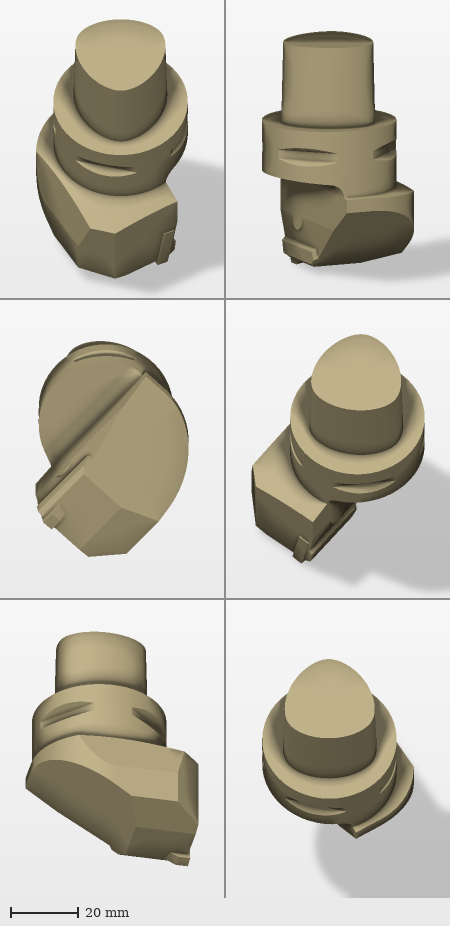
import cadquery as cq
import math

shank_height = 24.0
shank_mean_radius = 14.0
shank_lobe = 0.9
shank_taper = 0.6
shank_points = 48

flange_radius = 20.0
flange_bottom = -20.0
groove_z = -8.0
groove_floor_distance = 17.65
groove_floor_half_height = 1.3
groove_mouth_half_height = 2.7
groove_length = 43.2

head_left = -21.5
head_right = 26.35
head_side = -25.7
head_face = 3.95
head_bottom = -46.0
corner_radius = -head_left
corner_chamfer = 8.0
draft_angle = math.radians(15)
draft_start_z = -32.9
slope_top_z = -24.4
slope_end_x = 8.1
heel_y = -14.0
heel_z = -43.2

relief_edge_z = -15.1
relief_slope = math.tan(math.radians(5))
relief_radius = 3.95

rake_degrees = 10.3
rake_slope = math.tan(math.radians(rake_degrees))
seat_top_z = -31.4
jaw_foot_z = -39.75
jaw_crest_y = 3.4
jaw_crest_z = -40.8
jaw_nose_y = 2.95
jaw_nose_z = -44.85
jaw_toe_y = 0.9
jaw_left_foot_x = 3.4
jaw_left_crest_x = 4.75

insert_right = 27.0
insert_tip_y = 0.15
insert_tip_z = shank_height - 72.0
insert_edge = 13.75
insert_tip_width = 3.7
insert_thickness = 3.5

screw_radius = 3.0
screw_length = 14.4
screw_x = 14.4
screw_z = -32.6

clearance = 72.0


def shank_outline(mean_radius):
    """Points of a three-lobed curve with support distance R + e*cos(3*turn)."""
    points = []
    for index in range(shank_points):
        turn = 2 * math.pi * index / shank_points
        support = mean_radius + shank_lobe * math.cos(3 * turn)
        sideways = -3 * shank_lobe * math.sin(3 * turn)
        along_lobe = support * math.cos(turn) - sideways * math.sin(turn)
        across_lobe = support * math.sin(turn) + sideways * math.cos(turn)
        points.append((-across_lobe, along_lobe))
    return points


def make_shank():
    return (
        cq.Workplane("XY")
        .spline(shank_outline(shank_mean_radius), periodic=True).close()
        .workplane(offset=shank_height)
        .spline(shank_outline(shank_mean_radius - shank_taper), periodic=True).close()
        .loft(ruled=True)
    )


def side_prism(points, start_x=-clearance, length=2 * clearance):
    """Prism along X from a (y, z) outline."""
    return cq.Workplane("YZ", origin=(start_x, 0, 0)).polyline(points).close().extrude(length)


def make_flange():
    flange = cq.Workplane("XY").circle(flange_radius).extrude(flange_bottom)
    groove = side_prism(
        [
            (groove_floor_distance, groove_z - groove_floor_half_height),
            (flange_radius, groove_z - groove_mouth_half_height),
            (flange_radius, groove_z + groove_mouth_half_height),
            (groove_floor_distance, groove_z + groove_floor_half_height),
        ],
        -groove_length / 2,
        groove_length,
    )
    for index in range(4):
        flange = flange.cut(groove.rotate((0, 0, 0), (0, 0, 1), 45 + 90 * index))
    return flange


def make_head_block():
    arc_center_y = head_side + corner_radius
    arc_reach = corner_radius * math.sqrt(0.5)
    block = (
        cq.Workplane("XY", origin=(0, 0, head_bottom))
        .moveTo(head_left, head_face)
        .lineTo(head_left, arc_center_y)
        .threePointArc((-arc_reach, arc_center_y - arc_reach), (0, head_side))
        .lineTo(head_right - corner_chamfer, head_side)
        .lineTo(head_right, head_side + corner_chamfer)
        .lineTo(head_right, head_face)
        .close()
        .extrude(flange_bottom - head_bottom)
    )
    cone_drop = (clearance - flange_radius) * math.tan(draft_angle)
    cone = (
        cq.Workplane("XZ")
        .polyline([
            (0, flange_bottom),
            (flange_radius, flange_bottom),
            (clearance, flange_bottom - cone_drop),
            (clearance, -clearance),
            (0, -clearance),
        ])
        .close()
        .revolve(360, (0, 0, 0), (0, 1, 0))
    )
    draft_run = (flange_bottom - draft_start_z) * math.tan(draft_angle)
    drafted_side = side_prism([
        (head_side, draft_start_z),
        (head_side + draft_run, flange_bottom),
        (head_side, flange_bottom),
    ])
    heel = side_prism([(heel_y, head_bottom), (head_side, heel_z), (head_side, head_bottom)])
    return block.intersect(cone).cut(drafted_side).cut(heel)


def make_flange_relief():
    """Clears the space below the +Y part of the flange, rounded into the head face."""
    slope_at_face = relief_edge_z - relief_slope * (flange_radius - head_face)
    slope_beyond = relief_edge_z + relief_slope * (clearance - flange_radius)
    relief = side_prism([
        (head_face, slope_at_face),
        (clearance, slope_beyond),
        (clearance, -clearance),
        (head_face, -clearance),
    ])
    inner_corner = cq.selectors.NearestToPointSelector((0, head_face, slope_at_face))
    return relief.edges(inner_corner).fillet(relief_radius)


def seat_y(z):
    return head_face - rake_slope * (seat_top_z - z)


def make_seat_relief():
    """Removes the wedge in front of the inclined seat."""
    return side_prism([
        (head_face, seat_top_z),
        (head_face, -clearance),
        (seat_y(-clearance), -clearance),
    ])


def make_jaw():
    """Raised jaw over the insert, with a sloping wall at its -X end."""
    profile = side_prism(
        [
            (seat_y(jaw_foot_z), jaw_foot_z),
            (jaw_crest_y, jaw_crest_z),
            (jaw_nose_y, jaw_nose_z),
            (jaw_toe_y, head_bottom),
            (heel_y, head_bottom),
            (heel_y, jaw_foot_z),
        ],
        0,
        head_right,
    )
    left_wall = (
        cq.Workplane("XY", origin=(0, 0, head_bottom))
        .polyline([
            (jaw_left_foot_x, heel_y),
            (jaw_left_foot_x, seat_y(heel_z)),
            (jaw_left_crest_x, jaw_crest_y),
            (head_right, jaw_crest_y),
            (head_right, heel_y),
        ])
        .close()
        .extrude(jaw_foot_z - head_bottom)
    )
    return profile.intersect(left_wall)


def make_underside_slope():
    """Cuts away the region under the sloping -X side of the head."""
    return (
        cq.Workplane("XZ", origin=(0, clearance, 0))
        .polyline([(head_left, slope_top_z), (slope_end_x, head_bottom), (head_left, head_bottom)])
        .close()
        .extrude(2 * clearance)
    )


def make_insert():
    """Triangular plate with a flat cutting tip, leaned back by the rake angle."""
    tip_slope = math.tan(math.radians(30))
    apex_x = (insert_edge + insert_tip_width * tip_slope) / (2 * tip_slope)
    apex_z = insert_edge - apex_x * tip_slope
    return (
        cq.Workplane("XZ")
        .polyline([(0, 0), (0, insert_edge), (-apex_x, apex_z), (-insert_tip_width, 0)])
        .close()
        .extrude(insert_thickness)
        .rotate((0, 0, 0), (1, 0, 0), -rake_degrees)
        .translate((insert_right, insert_tip_y, insert_tip_z))
    )


def make_screw():
    return cq.Workplane("XZ", origin=(screw_x, head_face, screw_z)).circle(screw_radius).extrude(screw_length)


def make_holder(insert, screw):
    head = make_head_block().cut(make_seat_relief()).union(make_jaw()).cut(make_underside_slope())
    holder = make_flange().cut(make_flange_relief()).union(make_shank()).union(head)
    return holder.cut(insert).cut(screw)


insert = make_insert()
screw = make_screw()
holder = make_holder(insert, screw)

result = cq.Compound.makeCompound([holder.solids().val(), insert.val(), screw.val()])